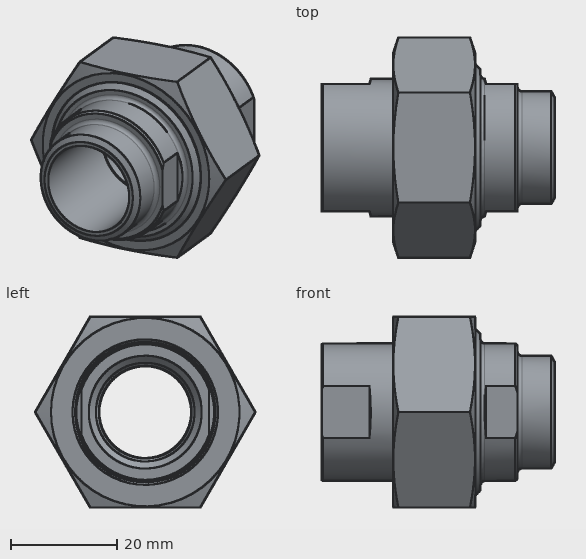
import cadquery as cq
import math


total_length = 44.0
barrel_diameter = 26.0
barrel_radius = barrel_diameter / 2
flat_width = 24.05
flat_run_out = 0.25
cutter_margin = 4.4

nut_start = 13.45
nut_length = 15.55
nut_end = nut_start + nut_length
nut_across_flats = 36.0
nut_across_corners = nut_across_flats / math.cos(math.pi / 6)
nut_face_diameter = 35.55
nut_corner_chamfer_length = 1.0
nut_web_thickness = 3.1
nut_neck_diameter = 26.5
nut_neck_chamfer = 0.5
nut_thread_diameter = 31.85
shoulder_position = nut_start + nut_web_thickness

joint_position = 22.0
sleeve_flange_diameter = 30.35
sleeve_end_chamfer_length = 0.3
sleeve_end_chamfer_depth = 0.2
sleeve_flat_length = 9.0
socket_diameter = 18.6
socket_mouth_diameter = 21.3
socket_chamfer = (socket_mouth_diameter - socket_diameter) / 2
socket_depth = shoulder_position
sleeve_bore_diameter = 17.5
socket_floor_taper = (socket_diameter - sleeve_bore_diameter) / 2

body_bore_diameter = 17.3
body_cone_diameter = 29.5
body_cone_end = 29.95
body_cone_length = (nut_thread_diameter - body_cone_diameter) / 2
body_fillet = 0.8
collar_end = 36.95
collar_chamfer = 0.45
body_flat_start = 31.0
spigot_diameter = 21.3
spigot_chamfer_length = 0.7
spigot_chamfer_depth = spigot_chamfer_length / math.tan(math.pi / 6)


def revolve_about_x(profile):
    """Revolve a closed (x, radius) profile a full turn about the X axis."""
    return profile.close().revolve(360, (0, 0, 0), (1, 0, 0))


def cut_wrench_flats(barrel, inner_end, outer_end):
    """Cut two flats, at -Y and +Y; the wall at inner_end leans away from the flat."""
    flat_height = flat_width / 2
    run_out = math.copysign(flat_run_out, inner_end - outer_end)
    run_out_height = barrel_radius - flat_height
    cutter_top = flat_height + cutter_margin
    leaning_end = inner_end + run_out * cutter_margin / run_out_height
    for side in (-1, 1):
        cutter = (
            cq.Workplane("XY")
            .moveTo(outer_end, side * flat_height)
            .lineTo(inner_end, side * flat_height)
            .lineTo(leaning_end, side * cutter_top)
            .lineTo(outer_end, side * cutter_top)
            .close()
            .extrude(barrel_radius, both=True)
        )
        barrel = barrel.cut(cutter)
    return barrel


def make_nut():
    """Hexagonal nut with corners on Y, conical corner chamfers and a stepped bore."""
    hexagon = (
        cq.Workplane("YZ", origin=(nut_start, 0, 0))
        .polygon(6, nut_across_corners)
        .extrude(nut_length)
    )
    face_radius = nut_face_diameter / 2
    corner_radius = nut_across_corners / 2
    corner_envelope = revolve_about_x(
        cq.Workplane("XY")
        .moveTo(nut_start, 0)
        .lineTo(nut_start, face_radius)
        .lineTo(nut_start + nut_corner_chamfer_length, corner_radius)
        .lineTo(nut_end - nut_corner_chamfer_length, corner_radius)
        .lineTo(nut_end, face_radius)
        .lineTo(nut_end, 0)
    )
    neck_radius = nut_neck_diameter / 2
    thread_radius = nut_thread_diameter / 2
    bore = revolve_about_x(
        cq.Workplane("XY")
        .moveTo(nut_start, 0)
        .lineTo(nut_start, neck_radius + nut_neck_chamfer)
        .lineTo(nut_start + nut_neck_chamfer, neck_radius)
        .lineTo(shoulder_position, neck_radius)
        .lineTo(shoulder_position, thread_radius)
        .lineTo(nut_end, thread_radius)
        .lineTo(nut_end, 0)
    )
    return hexagon.intersect(corner_envelope).cut(bore)


def make_sleeve():
    """Flanged sleeve with a chamfered, taper-bottomed socket; its flange bears on the nut shoulder."""
    bore_radius = sleeve_bore_diameter / 2
    socket_radius = socket_diameter / 2
    flange_radius = sleeve_flange_diameter / 2
    barrel = revolve_about_x(
        cq.Workplane("XY")
        .moveTo(0, socket_mouth_diameter / 2)
        .lineTo(0, barrel_radius - sleeve_end_chamfer_depth)
        .lineTo(sleeve_end_chamfer_length, barrel_radius)
        .lineTo(shoulder_position, barrel_radius)
        .lineTo(shoulder_position, flange_radius)
        .lineTo(joint_position, flange_radius)
        .lineTo(joint_position, bore_radius)
        .lineTo(socket_depth + socket_floor_taper, bore_radius)
        .lineTo(socket_depth, socket_radius)
        .lineTo(socket_chamfer, socket_radius)
    )
    return cut_wrench_flats(barrel, sleeve_flat_length, 0)


def make_spigot_body():
    """Body that fills the nut thread, then steps down to a collar and a spigot."""
    bore_radius = body_bore_diameter / 2
    thread_radius = nut_thread_diameter / 2
    spigot_radius = spigot_diameter / 2
    arc_inset = body_fillet * (1 - math.sqrt(0.5))
    barrel = revolve_about_x(
        cq.Workplane("XY")
        .moveTo(joint_position, bore_radius)
        .lineTo(joint_position, thread_radius)
        .lineTo(body_cone_end - body_cone_length, thread_radius)
        .lineTo(body_cone_end, body_cone_diameter / 2)
        .lineTo(body_cone_end, barrel_radius + body_fillet)
        .threePointArc(
            (body_cone_end + arc_inset, barrel_radius + arc_inset),
            (body_cone_end + body_fillet, barrel_radius),
        )
        .lineTo(collar_end - collar_chamfer, barrel_radius)
        .lineTo(collar_end, barrel_radius - collar_chamfer)
        .lineTo(collar_end, spigot_radius + body_fillet)
        .threePointArc(
            (collar_end + arc_inset, spigot_radius + arc_inset),
            (collar_end + body_fillet, spigot_radius),
        )
        .lineTo(total_length - spigot_chamfer_length, spigot_radius)
        .lineTo(total_length, spigot_radius - spigot_chamfer_depth)
        .lineTo(total_length, bore_radius)
    )
    return cut_wrench_flats(barrel, body_flat_start, collar_end)


nut = make_nut().solids()
sleeve = make_sleeve().solids()
spigot_body = make_spigot_body().solids()

result = cq.Compound.makeCompound([nut.val(), sleeve.val(), spigot_body.val()])